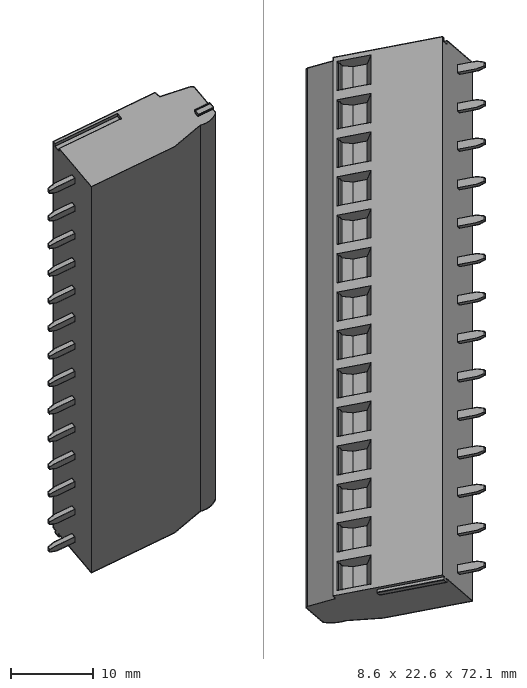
import cadquery as cq

poles = 14
width = 8.6
height = 19.05
length = 71.1
total_length = 72.1
pitch = length / poles
key_height = (total_length - length) / 2

step_outer_y = 14.6
step_inner_y = 14.7
step_depth = 0.9
left_shoulder_x = 1.5
left_shoulder_y = 18.7
crown_left_x = 1.7
crown_right_x = 6.6
right_curve_x = 7.2
right_curve_y = 18.2
right_shoulder_x = 7.35
right_shoulder_y = 16.4
right_slope_y = 11.9

window_low_y = 9.5
window_high_y = 14.05
window_length = 3.8
window_end_draft = 0.35
window_depth = 1.5
window_ledge_depth = 0.4
window_ledge_y = 13.85
window_wall_depth = 0.95
window_floor_high_y = 12.6
window_floor_low_y = 10.75

pin_center_x = 4.55
pin_width = 0.65
pin_length_z = 1.0
pin_reach = 3.5
pin_tip_height = 0.95
pin_tip_width = 0.4
pin_tip_length_z = 0.5

key_neck = 0.65
key_crest = 0.95
key_bevel_width = 0.2
key_bevel_height = 0.1
long_key_x = 0.9
long_key_height = 8.95
short_key_x = 5.7
short_key_height = 2.15


def pole_z(index):
    """Z of the centre of one pole."""
    return (index + 0.5) * pitch


def housing():
    """Constant cross-section, stepped on -X and sloped on +X, run along Z."""
    return (
        cq.Workplane("XY")
        .moveTo(0, 0)
        .lineTo(width, 0)
        .lineTo(width, right_slope_y)
        .lineTo(right_shoulder_x, right_shoulder_y)
        .threePointArc((right_curve_x, right_curve_y), (crown_right_x, height))
        .lineTo(crown_left_x, height)
        .lineTo(left_shoulder_x, left_shoulder_y)
        .lineTo(step_depth, step_inner_y)
        .lineTo(0, step_outer_y)
        .close()
        .extrude(length)
    )


def window(z):
    """Pocket volume: ledged, sloping floor outline with end walls drafted inward."""
    profile = (
        cq.Workplane("XY")
        .workplane(offset=z - window_length / 2)
        .polyline([
            (0, window_low_y),
            (0, window_high_y),
            (window_ledge_depth, window_high_y),
            (window_ledge_depth, window_ledge_y),
            (window_wall_depth, window_ledge_y),
            (window_depth, window_floor_high_y),
            (window_depth, window_floor_low_y),
        ])
        .close()
        .extrude(window_length)
    )
    drafted_ends = (
        cq.Workplane("XZ", origin=(0, window_high_y, z))
        .moveTo(0, -window_length / 2)
        .lineTo(0, window_length / 2)
        .lineTo(window_depth, window_length / 2 - window_end_draft)
        .lineTo(window_depth, window_end_draft - window_length / 2)
        .close()
        .extrude(window_high_y - window_low_y)
    )
    return profile.intersect(drafted_ends)


def pin(z):
    """Rectangular pin with a tapered tip, rooted on the -Y face."""
    shank_end = pin_reach - pin_tip_height
    shank = (
        cq.Workplane("XZ", origin=(pin_center_x, 0, z))
        .rect(pin_width, pin_length_z)
        .extrude(shank_end)
    )
    tip = (
        cq.Workplane("XZ", origin=(pin_center_x, -shank_end, z))
        .rect(pin_width, pin_length_z)
        .workplane(offset=pin_tip_height)
        .rect(pin_tip_width, pin_tip_length_z)
        .loft()
    )
    return shank.union(tip)


def key_bar(outline, center_x, low_y, high_y):
    """Bar along Y whose XZ outline is given relative to center_x."""
    return (
        cq.Workplane("XZ", origin=(center_x, high_y, 0))
        .polyline(outline)
        .close()
        .extrude(high_y - low_y)
    )


def key(center_x, end_z, outward, low_y, high_y):
    """Dovetail key on the end face at end_z; outward is +1 or -1 along Z."""
    flare_z = end_z + outward * (key_height - key_bevel_height)
    crest_z = end_z + outward * key_height
    plain_x = outward * key_crest / 2
    outline = [
        (-outward * key_neck / 2, end_z),
        (outward * key_neck / 2, end_z),
        (plain_x, flare_z),
        (plain_x, crest_z),
        (outward * key_bevel_width - plain_x, crest_z),
        (-plain_x, flare_z),
    ]
    return key_bar(outline, center_x, low_y, high_y)


def groove(center_x, end_z, low_y, high_y):
    """Groove in the upper end face, open enough to receive a key crest."""
    half = key_crest / 2
    floor_z = end_z - key_height
    outline = [
        (-half, end_z),
        (half, end_z),
        (half, floor_z + key_bevel_height),
        (half - key_bevel_width, floor_z),
        (-half, floor_z),
    ]
    return key_bar(outline, center_x, low_y, high_y)


result = housing()

for index in range(poles):
    result = result.cut(window(pole_z(index)))
    result = result.union(pin(pole_z(index)))

result = result.union(key(long_key_x, 0, -1, 0, long_key_height))
result = result.cut(groove(long_key_x, length, 0, long_key_height))

result = result.union(key(short_key_x, length, 1, height - short_key_height, height))